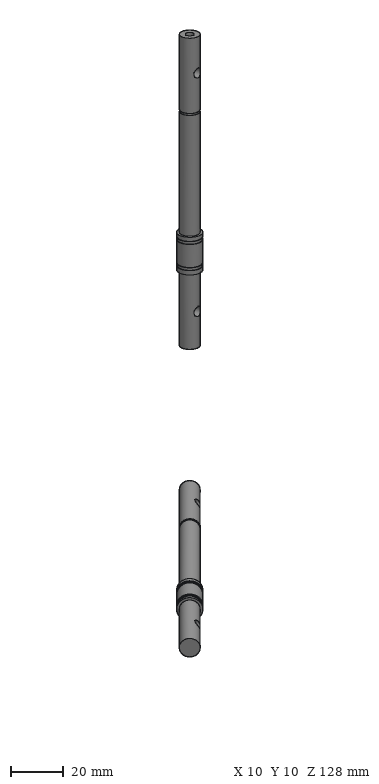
import cadquery as cq
import math

length = 128.0
shaft_diameter = 8.0
bottom = -length / 2
top = length / 2

collar_diameter = 10.0
collar_start = 31.1
collar_length = 15.5
collar_groove_diameter = 9.5
collar_groove_width = 1.2
collar_groove_inset = 1.8

shaft_groove_diameter = 7.7
shaft_groove_width = 0.8
shaft_groove_depth_from_top = 31.0

cross_hole_diameter = 4.0
cross_hole_inset = 15.0

bore_diameter = 3.3
bore_depth = 20.0
drill_point_angle = 118.0


def cylinder(diameter, start, height):
    """Solid cylinder on the Z axis, rising from the given Z level."""
    return cq.Workplane("XY").workplane(offset=start).circle(diameter / 2).extrude(height)


def ring_groove(outer_diameter, floor_diameter, start, width):
    """Ring of material to remove around the Z axis."""
    return cylinder(outer_diameter, start, width).cut(cylinder(floor_diameter, start, width))


def cross_hole(level):
    """Cylinder along X passing right through the shaft."""
    drill = cq.Workplane("YZ").center(0, level).circle(cross_hole_diameter / 2)
    return drill.extrude(collar_diameter, both=True)


def axial_bore():
    """Drilled hole profile revolved about the Z axis."""
    radius = bore_diameter / 2
    floor = top - bore_depth
    point_height = radius / math.tan(math.radians(drill_point_angle / 2))
    profile = (
        cq.Workplane("XZ")
        .moveTo(0, top)
        .lineTo(radius, top)
        .lineTo(radius, floor)
        .lineTo(0, floor - point_height)
        .close()
    )
    return profile.revolve(360, (0, 0, 0), (0, 1, 0))


collar_bottom = bottom + collar_start
collar_top = collar_bottom + collar_length
result = cylinder(shaft_diameter, bottom, length)
result = result.union(cylinder(collar_diameter, collar_bottom, collar_length))

lower_groove = collar_bottom + collar_groove_inset
upper_groove = collar_top - collar_groove_inset - collar_groove_width
for groove_start in (lower_groove, upper_groove):
    result = result.cut(
        ring_groove(collar_diameter, collar_groove_diameter, groove_start, collar_groove_width)
    )

shaft_groove_start = top - shaft_groove_depth_from_top - shaft_groove_width
result = result.cut(
    ring_groove(shaft_diameter, shaft_groove_diameter, shaft_groove_start, shaft_groove_width)
)

for level in (bottom + cross_hole_inset, top - cross_hole_inset):
    result = result.cut(cross_hole(level))
result = result.cut(axial_bore())